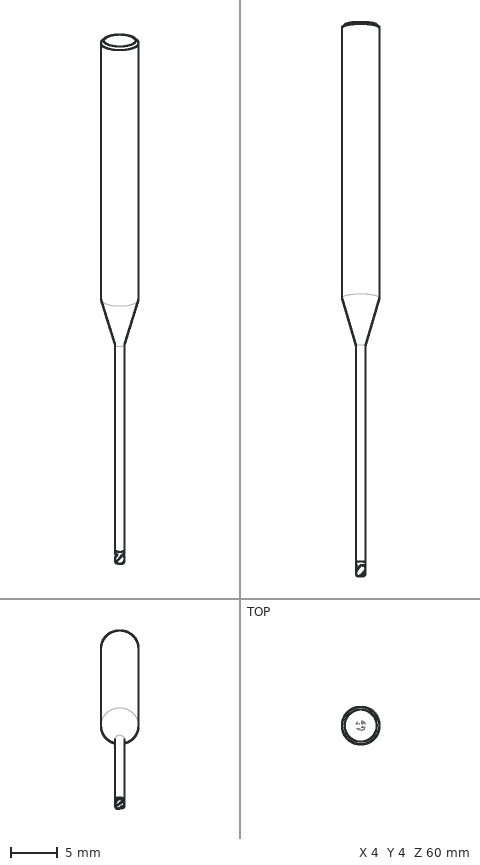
import cadquery as cq
import math

overall_length = 60.0
shank_diameter = 4.0
shank_chamfer = 0.3
shank_bottom = 30.3
neck_diameter = 1.0
neck_top = 25.1

head_length = 1.5
head_diameter = neck_diameter
flute_length = 1.15
flute_count = 2
flute_radius = 1.2
web_thickness = 0.4
helix_angle = 42.0
corner_radius = 0.3

shank_radius = shank_diameter / 2
neck_radius = neck_diameter / 2
head_radius = head_diameter / 2
helix_lead = math.pi * head_diameter / math.tan(math.radians(helix_angle))
flute_twist = 360 * flute_length / helix_lead


def make_shank():
    """Chamfered shank, taper and slender neck as one turned body."""
    return (
        cq.Workplane("XZ")
        .moveTo(0, head_length)
        .lineTo(neck_radius, head_length)
        .lineTo(neck_radius, neck_top)
        .lineTo(shank_radius, shank_bottom)
        .lineTo(shank_radius, overall_length - shank_chamfer)
        .lineTo(shank_radius - shank_chamfer, overall_length)
        .lineTo(0, overall_length)
        .close()
        .revolve(360, (0, 0, 0), (0, 1, 0))
    )


def make_flute(start_angle):
    """Helical cutter that leaves half the web thickness beside the axis."""
    flute_center = web_thickness / 2 + flute_radius
    return (
        cq.Workplane("XY")
        .moveTo(0, flute_center)
        .circle(flute_radius)
        .twistExtrude(flute_length, flute_twist)
        .rotate((0, 0, 0), (0, 0, 1), start_angle)
    )


def make_cutting_head():
    """Round-cornered head with its cutting edges across X at the tip."""
    head = (
        cq.Workplane("XY")
        .circle(head_radius)
        .extrude(head_length)
        .faces("<Z")
        .edges()
        .fillet(corner_radius)
    )
    for index in range(flute_count):
        head = head.cut(make_flute(index * 360 / flute_count))
    return head


shank = make_shank()
cutting_head = make_cutting_head()

result = cq.Compound.makeCompound([shank.val(), cutting_head.val()])